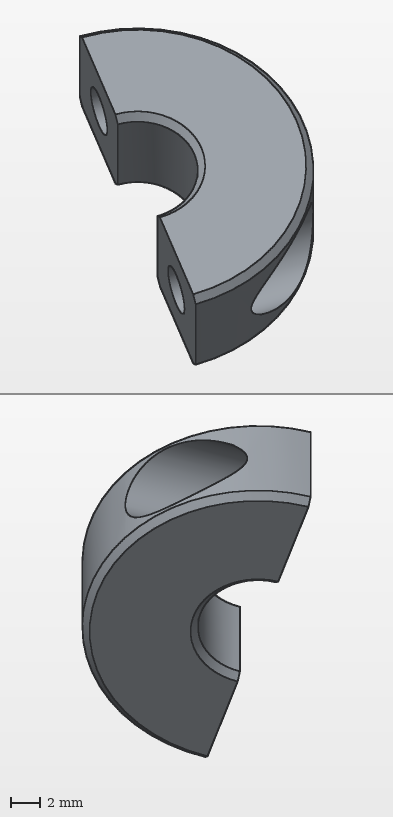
import cadquery as cq

outer_diameter = 24.0
bore_diameter = 8.2
width = outer_diameter / 3
edge_chamfer = 0.5

screw_spacing = 2 * outer_diameter / 3
screw_hole_diameter = 3.4
screw_head_diameter = 6.4
screw_seat_height = 3.0


def make_half_ring():
    """Chamfered ring, centred on the origin, with the -Y half removed."""
    ring = (
        cq.Workplane("XY", origin=(0, 0, -width / 2))
        .circle(outer_diameter / 2)
        .circle(bore_diameter / 2)
        .extrude(width)
        .faces("|Z")
        .edges()
        .chamfer(edge_chamfer)
    )
    kept_half = cq.Workplane("XY").box(
        outer_diameter, outer_diameter / 2, width, centered=(True, False, True)
    )
    return ring.intersect(kept_half)


def make_cylinder_along_y(x, start_y, diameter):
    """Cutting cylinder from start_y out past the rim."""
    return (
        cq.Workplane("XZ", origin=(x, start_y, 0))
        .circle(diameter / 2)
        .extrude(-outer_diameter)
    )


result = make_half_ring()

for side in (-1, 1):
    screw_x = side * screw_spacing / 2
    result = result.cut(make_cylinder_along_y(screw_x, 0, screw_hole_diameter))
    result = result.cut(make_cylinder_along_y(screw_x, screw_seat_height, screw_head_diameter))